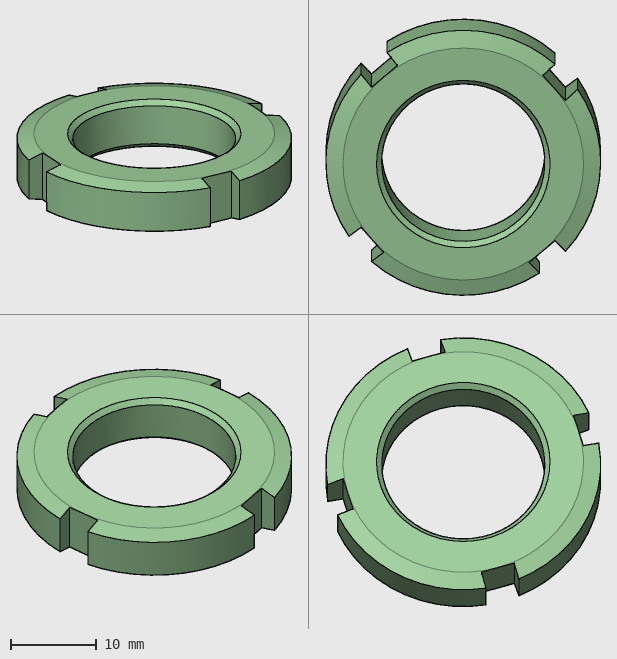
import cadquery as cq
import math

span = 31.75
height = 6.0
slot_width = 4.0
slot_floor = 14.0
slot_count = 4
face_radius = 14.0
bevel_angle = 15.0
bore_radius = 9.5
bore_chamfer = 0.6

rim_radius = math.hypot(span / 2, slot_width / 2)
bevel_height = (rim_radius - face_radius) * math.tan(math.radians(bevel_angle))


def make_ring():
    """Revolve the ring section, with its outer bevels and bore chamfers."""
    mouth_radius = bore_radius + bore_chamfer
    section = [
        (mouth_radius, 0),
        (face_radius, 0),
        (rim_radius, bevel_height),
        (rim_radius, height - bevel_height),
        (face_radius, height),
        (mouth_radius, height),
        (bore_radius, height - bore_chamfer),
        (bore_radius, bore_chamfer),
    ]
    return cq.Workplane("XZ").polyline(section).close().revolve(360, (0, 0), (0, 1))


def make_slot_cutter(angle):
    """Flat-floored spanner slot through the full height, at an angle about Z."""
    cutter_length = rim_radius
    cutter = cq.Workplane("XY").box(
        cutter_length, slot_width, height, centered=(False, True, False)
    )
    return cutter.translate((slot_floor, 0, 0)).rotate((0, 0, 0), (0, 0, 1), angle)


result = make_ring()
for index in range(slot_count):
    result = result.cut(make_slot_cutter(index * 360 / slot_count))